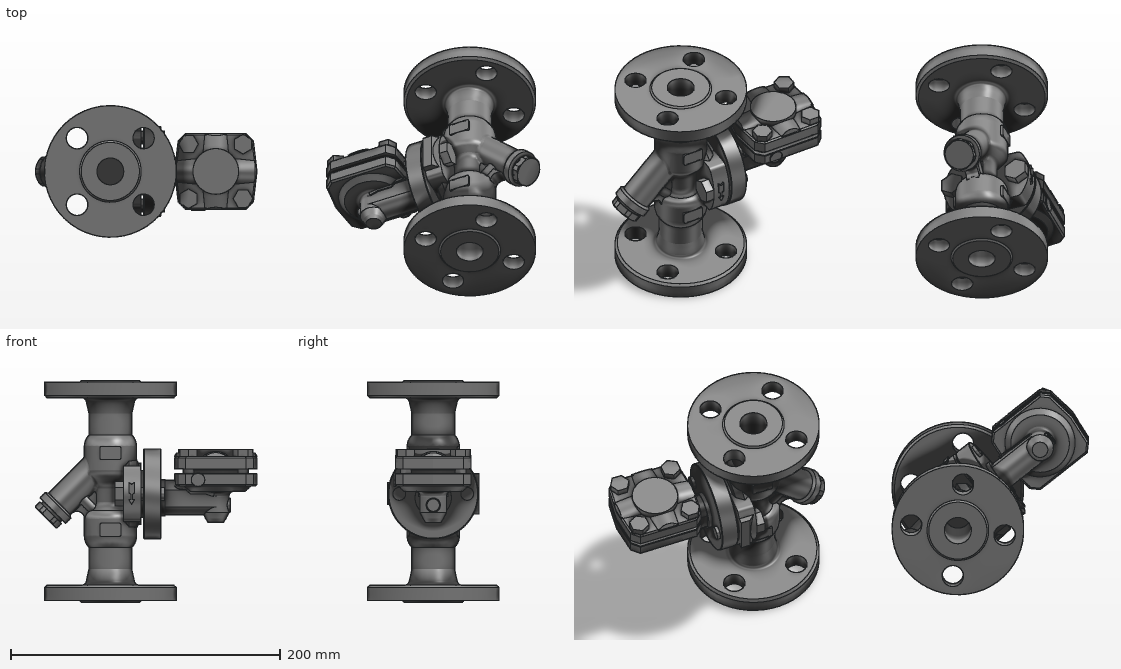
import cadquery as cq
import math

overall_height = 165.0
flange_diameter = 98.0
flange_thickness = 11.5
flange_chamfer = 1.8
raised_face_height = 1.3
raised_face_base_diameter = 45.9
raised_face_top_diameter = 43.2
flange_hole_diameter = 15.8
flange_hole_circle = 70.0
pipe_bore = 20.0
pipe_bore_depth = 57.8

pipe_diameter = 32.0
hub_end_z = 57.9
hub_cone_top_z = 67.0
hub_cone_diameter = 36.0
hub_fillet_diameter = 42.9
bulb_diameter = 39.0
bulb_outer_z = (41.9, -41.5)
bulb_outer_tangent_z = (33.7, -33.0)
bulb_inner_tangent_z = (15.8, -20.6)
neck_diameter = 23.0
wall_pad_width = 15.7
wall_pad_height = 9.9
wall_pad_reach = 19.6
wall_pad_centers_z = (28.5, -28.5)
wall_pad_corner_radius = 1.3

branch_start_z = 28.5
branch_diameter = 23.0
branch_root_fillet = 3.0
branch_inner_end = 9.9
branch_shaft_end = 53.5
collar_start = 55.1
collar_end = 60.5
plug_hex_start = 62.7
plug_hex_end = 68.0
collar_diameter = 27.0
plug_neck_diameter = 20.0
plug_hex_flats = 21.5
plug_hex_trim_diameter = 23.0
plug_hex_chamfer = 0.7
web_width = 9.9
web_boss_diameter = 12.2
web_boss_length = 23.1

joint_z = -1.8
joint_diameter = 67.0
block_start_x = 9.9
block_end_x = 22.8
block_height = 41.2
block_corner_radius = 4.6
block_boss_diameter = 45.9
block_boss_root_diameter = 52.1
block_boss_bulge_diameter = 56.1
joint_face_x = 24.8
joint_raised_diameter = 35.0
joint_bolt_spacing = 50.5
joint_bolt_diameter = 9.5
joint_bolt_end_x = 40.1
joint_head_flats = 15.8
joint_head_height = 6.5
name_pad_reach = 34.2
name_pad_height = 30.0
name_pad_ramp = 5.8
arrow_reach = 34.0

trap_flange_thickness = 12.9
trap_flange_chamfer = 0.5
arm_collar_diameter = 27.0
arm_collar_z = -4.8
arm_collar_thickness = 3.0
arm_width = 20.0
gusset_width = 21.8
arm_flat_z = (-11.5, 1.0)
arm_bottom_z = -17.5
arm_top_z = 8.4
head_x = 78.4
head_half_length = 30.7
head_corner_half_length = 28.0
head_half_width = 28.2
head_corner_cut = 5.6
base_plate_z = (4.0, 13.4)
base_lower_chamfer = 1.3
base_upper_chamfer = 0.5
cover_plate_z = (16.8, 26.0)
cover_chamfer = 1.2
cover_spigot_bottom_z = 15.8
cover_spigot_diameter = 45.9
cover_top_z = 31.2
cover_cap_diameter = 34.0
gasket_diameter = 39.0
head_bolt_offset = 20.3
head_bolt_diameter = 8.0
head_bolt_flats = 12.7
rib_radius = 13.5
rib_inner_rise = 3.6
rib_outer_rise = 2.6
rib_end_taper = 30.0
button_diameter = 10.0
button_x = 65.2
button_z = 8.5
button_height = 0.8
outlet_plug_diameter = 10.5
outlet_plug_z = -10.2
outlet_plug_end_x = 89.5


def revolve_about_z(profile, center_x=0):
    """Turn a closed half profile, drawn as (radius, z), about a vertical axis."""
    return profile.close().revolve(360, (0, 0, 0), (0, 1, 0)).translate((center_x, 0, 0))


def cylinder_x(diameter, start_x, end_x, y=0, z=joint_z):
    return cq.Workplane("YZ", origin=(start_x, y, z)).circle(diameter / 2).extrude(end_x - start_x)


def hexagon(workplane, flats, height):
    return workplane.polygon(6, flats / math.cos(math.pi / 6)).extrude(height)


def make_pipe_flange():
    """Upper flange with raised face and the hub down to the straight pipe."""
    top_z = overall_height / 2
    face_z = top_z - raised_face_height
    under_z = face_z - flange_thickness
    profile = (
        cq.Workplane("XZ")
        .moveTo(0, top_z)
        .lineTo(raised_face_top_diameter / 2, top_z)
        .lineTo(raised_face_base_diameter / 2, face_z)
        .lineTo(flange_diameter / 2, face_z)
        .lineTo(flange_diameter / 2, under_z + flange_chamfer)
        .lineTo(flange_diameter / 2 - flange_chamfer, under_z)
        .lineTo(hub_fillet_diameter / 2, under_z)
        .tangentArcPoint((hub_cone_diameter / 2, hub_cone_top_z), relative=False)
        .lineTo(pipe_diameter / 2, hub_end_z)
        .lineTo(0, hub_end_z)
    )
    holes = (
        cq.Workplane("XY", origin=(0, 0, under_z))
        .polarArray(flange_hole_circle / 2, 45, 360, 4)
        .circle(flange_hole_diameter / 2)
        .extrude(flange_thickness)
    )
    return revolve_about_z(profile).cut(holes)


def make_pipe_body():
    """Straight pipe with an upper and a lower bulb joined by a narrow neck."""
    pipe_r = pipe_diameter / 2
    bulb_r = bulb_diameter / 2
    neck_r = neck_diameter / 2
    shoulder_r = bulb_r - 1.0
    profile = (
        cq.Workplane("XZ")
        .moveTo(0, hub_end_z)
        .lineTo(pipe_r, hub_end_z)
        .lineTo(pipe_r, bulb_outer_z[0])
        .threePointArc((shoulder_r, bulb_outer_z[0] - 3.6), (bulb_r, bulb_outer_tangent_z[0]))
        .lineTo(bulb_r, bulb_inner_tangent_z[0])
        .tangentArcPoint((bulb_r - 2.1, bulb_inner_tangent_z[0] - 5.1), relative=False)
        .lineTo(neck_r + 2.0, 6.8)
        .tangentArcPoint((neck_r, 2.1), relative=False)
        .lineTo(neck_r, -8.0)
        .tangentArcPoint((neck_r + 2.1, -13.0), relative=False)
        .lineTo(neck_r + 3.0, -14.0)
        .threePointArc((bulb_r - 1.3, -16.5), (bulb_r, bulb_inner_tangent_z[1]))
        .lineTo(bulb_r, bulb_outer_tangent_z[1])
        .threePointArc((shoulder_r, bulb_outer_z[1] + 3.6), (pipe_r, bulb_outer_z[1]))
        .lineTo(pipe_r, -hub_end_z)
        .lineTo(0, -hub_end_z)
    )
    return revolve_about_z(profile)


def make_wall_pads():
    """Flat rectangular pads on the -Y and +Y sides of both bulbs."""
    pads = cq.Workplane("XY")
    for center_z in wall_pad_centers_z:
        pads = pads.union(
            cq.Workplane("XY")
            .box(wall_pad_width, 2 * wall_pad_reach, wall_pad_height)
            .edges("|Y")
            .fillet(wall_pad_corner_radius)
            .translate((0, 0, center_z))
        )
    return pads


def branch_plane(distance):
    """Plane square to the branch axis at a distance from the pipe axis."""
    step = distance * math.sqrt(0.5)
    return cq.Workplane(
        cq.Plane(origin=(-step, 0, branch_start_z - step), xDir=(0, 1, 0), normal=(-1, 0, -1))
    )


def make_branch():
    shaft = branch_plane(branch_inner_end).circle(branch_diameter / 2)
    shaft = shaft.extrude(branch_shaft_end - branch_inner_end)
    shoulder = (
        branch_plane(branch_shaft_end)
        .circle(branch_diameter / 2)
        .workplane(offset=collar_start - branch_shaft_end)
        .circle(collar_diameter / 2)
        .loft()
    )
    collar = branch_plane(collar_start).circle(collar_diameter / 2).extrude(collar_end - collar_start)
    plug_neck = branch_plane(collar_end).circle(plug_neck_diameter / 2)
    plug_neck = plug_neck.extrude(plug_hex_start - collar_end)
    hex_height = plug_hex_end - plug_hex_start
    trim = branch_plane(plug_hex_start).circle(plug_hex_trim_diameter / 2).extrude(hex_height)
    trim = trim.faces("<Z").chamfer(plug_hex_chamfer)
    hex_plane = branch_plane(plug_hex_start).transformed(rotate=(0, 0, 30))
    plug_hex = hexagon(hex_plane, plug_hex_flats, hex_height).intersect(trim)
    return shaft.union(shoulder).union(collar).union(plug_neck).union(plug_hex)


def make_branch_web():
    """Web and round boss between the underside of the branch and the lower bulb."""
    web = (
        cq.Workplane("XZ", origin=(0, web_width / 2, 0))
        .moveTo(-9.9, 1.6)
        .lineTo(-28.4, -16.2)
        .threePointArc((-24.5, -14.8), (-19.3, -20.6))
        .lineTo(-9.9, -20.6)
        .close()
        .extrude(web_width)
    )
    boss_plane = cq.Plane(origin=(-27.4, 0, 1.2), xDir=(0, 1, 0), normal=(1, 0, -1))
    return web.union(cq.Workplane(boss_plane).circle(web_boss_diameter / 2).extrude(web_boss_length))


def make_block():
    """Bolted block: a disc with flat top and bottom, its round boss and side pads."""
    length = block_end_x - block_start_x
    radius = joint_diameter / 2
    flat_z = block_height / 2
    flat_y = math.sqrt(radius**2 - flat_z**2)
    block = (
        cq.Workplane("YZ", origin=(block_start_x, 0, joint_z))
        .moveTo(-flat_y, flat_z)
        .lineTo(flat_y, flat_z)
        .threePointArc((radius, 0), (flat_y, -flat_z))
        .lineTo(-flat_y, -flat_z)
        .threePointArc((-radius, 0), (-flat_y, flat_z))
        .close()
        .extrude(length)
        .edges("|X")
        .fillet(block_corner_radius)
    )
    name_pad = (
        cq.Workplane("XY", origin=(0, 0, joint_z - name_pad_height / 2))
        .moveTo(block_start_x, 0)
        .lineTo(block_start_x, name_pad_reach - name_pad_ramp)
        .lineTo(block_start_x + name_pad_ramp, name_pad_reach)
        .lineTo(block_end_x, name_pad_reach)
        .lineTo(block_end_x, 0)
        .close()
        .extrude(name_pad_height)
    )
    block = block.union(name_pad)
    boss = (
        cq.Workplane("XZ")
        .moveTo(block_start_x, 0)
        .lineTo(block_start_x, block_boss_root_diameter / 2)
        .lineTo(14.0, block_boss_bulge_diameter / 2)
        .lineTo(19.6, 25.0)
        .lineTo(20.8, block_boss_diameter / 2)
        .lineTo(block_end_x, block_boss_diameter / 2)
        .lineTo(block_end_x, 0)
        .close()
        .revolve(360, (0, 0, 0), (1, 0, 0))
        .translate((0, 0, joint_z))
    )
    raised_face = cylinder_x(joint_raised_diameter, block_end_x, joint_face_x)
    return block.union(boss).union(raised_face)


def make_flow_arrow():
    """Raised downward arrow with a notched tail on the -Y side of the block."""
    depth = 2.5
    center_x = (block_start_x + block_end_x) / 2 - 0.5
    points = [
        (-2.1, 6.8), (0, 5.3), (2.1, 6.8), (2.1, -1.0), (0.7, -2.1), (0.7, -6.0),
        (2.1, -6.0), (0, -9.5), (-2.1, -6.0), (-0.7, -6.0), (-0.7, -2.1), (-2.1, -1.0),
    ]
    arrow = cq.Workplane("XZ").polyline(points).close().extrude(depth)
    return arrow.translate((center_x, depth - arrow_reach, 0))


def make_joint_bolts():
    """Hexagon heads and the shanks that cross the gap up to the trap flange."""
    bolts = cq.Workplane("XY")
    for y in (-joint_bolt_spacing / 2, joint_bolt_spacing / 2):
        head_plane = cq.Workplane(
            cq.Plane(
                origin=(block_start_x - joint_head_height, y, joint_z),
                xDir=(0, 0, 1),
                normal=(1, 0, 0),
            )
        )
        bolts = bolts.union(hexagon(head_plane, joint_head_flats, joint_head_height))
        bolts = bolts.union(cylinder_x(joint_bolt_diameter, block_start_x, joint_face_x, y))
    return bolts


def make_valve():
    upper_flange = make_pipe_flange()
    valve = make_pipe_body().union(make_branch())
    root_region = cq.selectors.BoxSelector((-21.5, -14.8, 9.9), (-1.6, 14.8, 29.7))
    valve = valve.edges(root_region).edges("not %CIRCLE").edges("not %LINE").fillet(branch_root_fillet)
    valve = valve.union(upper_flange).union(upper_flange.mirror("XY"))
    for feature in (
        make_wall_pads(), make_branch_web(),
        make_block(), make_flow_arrow(), make_joint_bolts(),
    ):
        valve = valve.union(feature)
    bore_end_z = overall_height / 2 - pipe_bore_depth
    upper_bore = cq.Workplane("XY", origin=(0, 0, bore_end_z)).circle(pipe_bore / 2).extrude(pipe_bore_depth)
    return valve.cut(upper_bore).cut(upper_bore.mirror("XY"))


def make_trap_flange():
    flange_end_x = joint_face_x + trap_flange_thickness
    flange = cylinder_x(joint_diameter, joint_face_x, flange_end_x).edges().chamfer(trap_flange_chamfer)
    for y in (-joint_bolt_spacing / 2, joint_bolt_spacing / 2):
        flange = flange.union(cylinder_x(joint_bolt_diameter, flange_end_x, joint_bolt_end_x, y))
    collar_end_x = flange_end_x + arm_collar_thickness
    collar = cylinder_x(arm_collar_diameter, flange_end_x, collar_end_x, z=arm_collar_z)
    return flange.union(collar)


def make_arm():
    """Flat-sided arm with rounded top and bottom from the flange to the outlet post."""
    start_x = joint_face_x + trap_flange_thickness
    half = arm_width / 2
    return (
        cq.Workplane("YZ", origin=(start_x, 0, 0))
        .moveTo(-half, arm_flat_z[0])
        .lineTo(-half, arm_flat_z[1])
        .threePointArc((0, arm_top_z), (half, arm_flat_z[1]))
        .lineTo(half, arm_flat_z[0])
        .threePointArc((0, arm_bottom_z), (-half, arm_flat_z[0]))
        .close()
        .extrude(head_x - start_x)
    )


def make_arm_gusset():
    """Gusset that blends the arm into the underside of the head."""
    points = [
        (47.7, base_plate_z[0]), (49.8, 2.1), (56.1, 1.3), (59.4, -1.8),
        (70.1, -1.8), (76.7, -3.8), (head_x, base_plate_z[0]),
    ]
    gusset = cq.Workplane("XZ", origin=(0, gusset_width / 2, 0)).polyline(points).close()
    return gusset.extrude(gusset_width)


def make_outlet_post():
    """Round underside of the head, narrowing to the post with its tapered foot."""
    post_r = arm_width / 2
    profile = (
        cq.Workplane("XZ")
        .moveTo(0, base_plate_z[0])
        .lineTo(26.0, base_plate_z[0])
        .lineTo(21.8, 0)
        .lineTo(post_r + 3.0, 0)
        .threePointArc((post_r + 0.8, -1.2), (post_r, -4.0))
        .lineTo(post_r, -15.5)
        .lineTo(7.5, -20.5)
        .lineTo(5.8, -23.0)
        .lineTo(0, -23.0)
    )
    plug = cylinder_x(outlet_plug_diameter, head_x, outlet_plug_end_x, z=outlet_plug_z)
    return revolve_about_z(profile, head_x).union(plug.faces(">X").chamfer(0.7))


def head_plate(bottom_z, top_z, taper=0):
    """Plate with cut corners and slightly bulged ends."""
    corner_y = head_half_width - head_corner_cut
    corner_x = head_corner_half_length - head_corner_cut
    quarter = [
        (head_half_length, 0),
        (head_corner_half_length, corner_y),
        (corner_x, head_half_width),
    ]
    upper = quarter + [(-x, y) for x, y in reversed(quarter)]
    lower = [(-x, -y) for x, y in upper[1:-1]]
    plate = cq.Workplane("XY", origin=(head_x, 0, bottom_z)).polyline(upper + lower).close()
    return plate.extrude(top_z - bottom_z, taper=taper)


def disc_z(diameter, bottom_z, top_z):
    """Upright disc on the head axis."""
    disc = cq.Workplane("XY", origin=(head_x, 0, bottom_z)).circle(diameter / 2)
    return disc.extrude(top_z - bottom_z)


def make_base():
    plate = head_plate(*base_plate_z).faces("<Z").chamfer(base_lower_chamfer)
    plate = plate.faces(">Z").chamfer(base_upper_chamfer)
    button = (
        cq.Workplane("XZ", origin=(button_x, -head_half_width, button_z))
        .circle(button_diameter / 2)
        .extrude(button_height)
    )
    return plate.union(button)


def make_cover_ribs():
    """Four round-backed ribs that slope down from the cap to the plate edges."""
    cap_r = cover_cap_diameter / 2
    slope = math.degrees(math.atan2(rib_inner_rise - rib_outer_rise, head_half_width - cap_r))
    rib_start = -cap_r
    rib = (
        cq.Workplane("YZ")
        .circle(rib_radius)
        .extrude(2 * head_half_length)
        .translate((rib_start, 0, -rib_radius))
        .rotate((0, 0, 0), (0, 1, 0), slope)
        .translate((cap_r, 0, cover_plate_z[1] + rib_inner_rise))
    )
    ribs = cq.Workplane("XY")
    for angle in range(0, 360, 90):
        ribs = ribs.union(rib.rotate((0, 0, 0), (0, 0, 1), angle))
    envelope = head_plate(cover_plate_z[1], cover_top_z, rib_end_taper)
    return ribs.translate((head_x, 0, 0)).intersect(envelope)


def make_cover():
    cap = disc_z(cover_cap_diameter, cover_plate_z[1], cover_top_z)
    spigot = disc_z(cover_spigot_diameter, cover_spigot_bottom_z, cover_plate_z[0])
    gasket = disc_z(gasket_diameter, base_plate_z[1], cover_spigot_bottom_z)
    plate = head_plate(*cover_plate_z).faces(">Z").chamfer(cover_chamfer)
    return plate.union(make_cover_ribs()).union(cap).union(spigot).union(gasket)


def make_head_bolts():
    """Four hexagon bolts; diagonal neighbours share the same turn of the hexagon."""
    bolts = cq.Workplane("XY")
    for side_x in (-1, 1):
        for side_y in (-1, 1):
            turn = 30 if side_x == side_y else 0
            bolt = hexagon(
                cq.Workplane("XY", origin=(0, 0, cover_plate_z[1])),
                head_bolt_flats,
                cover_top_z - cover_plate_z[1],
            ).rotate((0, 0, 0), (0, 0, 1), turn)
            shank = cq.Workplane("XY", origin=(0, 0, base_plate_z[1])).circle(head_bolt_diameter / 2)
            bolt = bolt.union(shank.extrude(cover_plate_z[1] - base_plate_z[1]))
            offset = (head_x + side_x * head_bolt_offset, side_y * head_bolt_offset, 0)
            bolts = bolts.union(bolt.translate(offset))
    return bolts


def make_trap():
    trap = make_trap_flange()
    for feature in (
        make_arm(), make_arm_gusset(), make_outlet_post(),
        make_base(), make_cover(), make_head_bolts(),
    ):
        trap = trap.union(feature)
    return trap


valve = make_valve()
trap = make_trap()
result = cq.Compound.makeCompound([valve.val(), trap.val()])